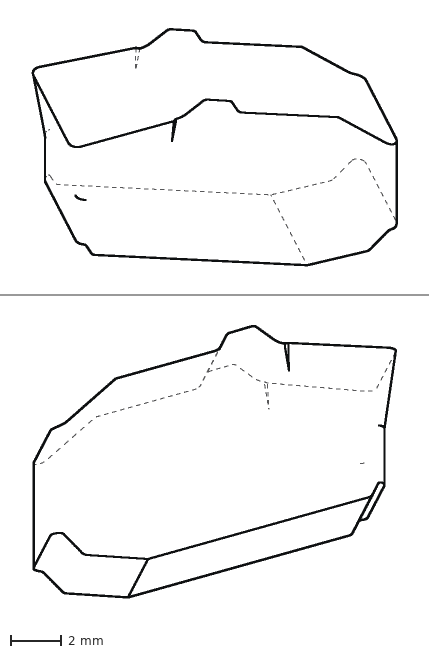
import cadquery as cq

length = 14.0
body_half_width = 2.21
corner_radius = 0.39

nose_top = 9.6
nose_base = 6.37
front_y = 0.4
side_draft = 0.085
side_taper = 0.05
nose_side_end = 4.41
rear_lean = 0.04
rear_bevel_length = 0.13
rear_bevel_width = 0.08

front_foot = (front_y, 3.95)
front_notch = (0.7, 3.95)
front_chin = (1.0, 3.3)
belly_end = (10.1, 0)
heel = (12.7, 0)
rear_notch = (13.57, 0.87)
rear_foot = (length, 0.87)
rear_top = (length, 5.36)
rear_arc_middle = (13.66, 5.47)
rear_arc_end = (13.37, 5.68)
shoulder = (11.41, 7.63)
hump_foot = (7.2, 9.15)
hump_rear = (6.87, 9.87)
hump_peak = (5.77, 10.29)
hump_front = (4.77, nose_top)

rounded_corners = [
    (front_notch, 0.14),
    (front_chin, 0.28),
    (heel, 0.28),
    (rear_notch, 0.21),
    (shoulder, 0.21),
    (hump_foot, 0.42),
    (hump_rear, 0.25),
    (hump_peak, 0.21),
    (hump_front, 0.87),
]


def make_body():
    """Extrude the side profile and round its corners and upright end edges."""
    lower_corners = [front_notch, front_chin, belly_end, heel, rear_notch, rear_foot, rear_top]
    upper_corners = [shoulder, hump_foot, hump_rear, hump_peak, hump_front, (front_y, nose_top)]
    profile = cq.Workplane("YZ").moveTo(*front_foot)
    for corner in lower_corners:
        profile = profile.lineTo(*corner)
    profile = profile.threePointArc(rear_arc_middle, rear_arc_end)
    for corner in upper_corners:
        profile = profile.lineTo(*corner)
    body = profile.close().extrude(body_half_width, both=True)
    for (y, z), radius in rounded_corners:
        body = body.edges(cq.NearestToPointSelector((0, y, z))).fillet(radius)
    return body.edges("|Z and (<Y or >Y)").fillet(corner_radius)


def nose_section(front, height):
    """Symmetric outline of the nose at one height, with its bevelled rear corners."""
    side_end = nose_side_end - rear_lean * (nose_top - height)
    base_half_width = body_half_width + side_draft * (height - nose_base)
    taper_origin = front_y + corner_radius
    front_half = base_half_width + side_taper * (taper_origin - front)
    side_end_half = base_half_width + side_taper * (taper_origin - side_end)
    rear_half = side_end_half - rear_bevel_width
    rear = side_end + rear_bevel_length
    right = [(front_half, front), (side_end_half, side_end), (rear_half, rear)]
    left = [(-x, y) for x, y in reversed(right)]
    return right + left


def make_nose():
    """Flared nose, narrowing downwards into the body, with rounded front corners."""
    nose = (
        cq.Workplane("XY", origin=(0, 0, nose_base))
        .polyline(nose_section(front_y, nose_base))
        .close()
        .workplane(offset=nose_top - nose_base)
        .polyline(nose_section(0, nose_top))
        .close()
        .loft(ruled=True, combine=True)
    )
    front_edges = nose.faces("<Y").edges("not #Z")
    return front_edges.fillet(corner_radius)


result = make_body().union(make_nose())